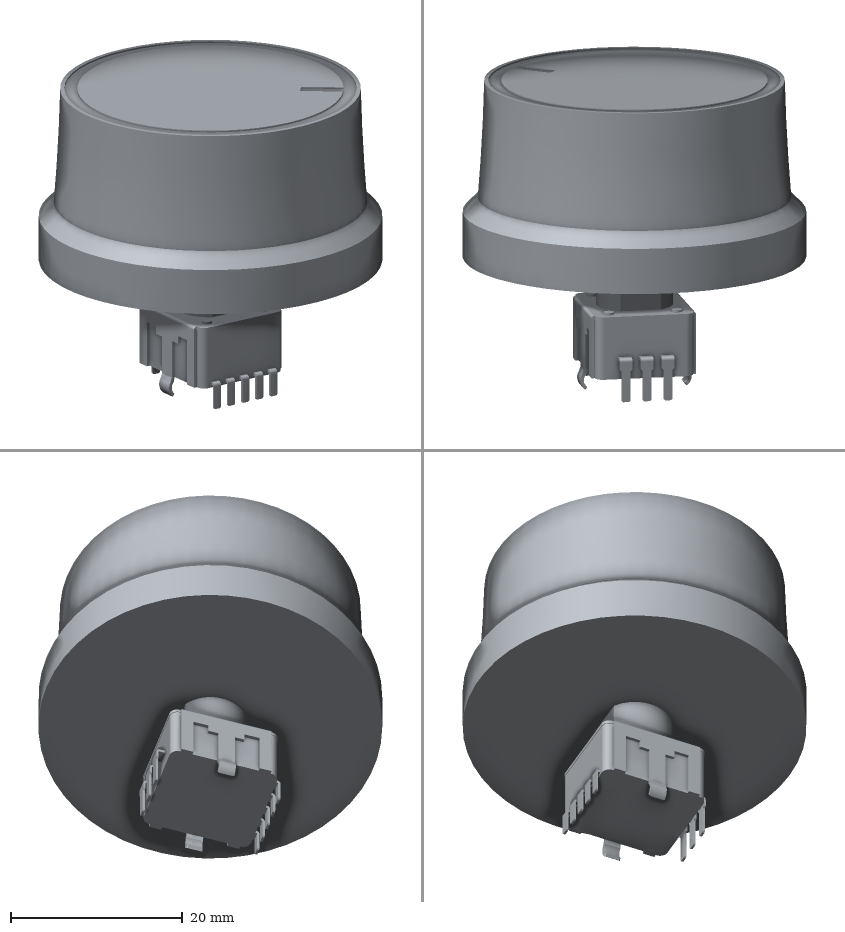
import cadquery as cq
import math


KNOB_BOTTOM = 13.09
KNOB_HEIGHT = 21.0
FLANGE_RADIUS = 20.0
FLANGE_HEIGHT = 5.4
FLANGE_CHAMFER = 1.75
RIM_RADIUS = 17.5
GRIP_HOLLOW = 0.1
GROOVE_OUTER_RADIUS = 17.0
GROOVE_INNER_RADIUS = 15.5
GROOVE_DEPTH = 0.2
POINTER_ANGLE = 53.0
POINTER_WIDTH = 1.5
POINTER_INNER_RADIUS = 10.5

CASE_X = 13.1
CASE_Y = 11.6
CASE_HEIGHT = 7.45
CASE_CORNER_RADIUS = 0.95
BUSHING_DIAMETER = 9.0
BUSHING_FLAT_WIDTH = 7.6
PEG_DIAMETER = 1.25
PEG_HEIGHT = 0.27
PEG_X = 5.0
PEG_Y = 4.05

COVER_THICKNESS = 0.4
COVER_OVERHANG = 0.05
FOLD_RADIUS = 0.35
SIDE_PLATE_WIDTH = 11.0
WINDOW_HALF_WIDTH = 4.05
WINDOW_HEIGHT = 5.45
WINDOW_STEP_HEIGHT = 4.5
WINDOW_STEP_HALF_WIDTH = 2.2
CLIP_WIDTH = 2.0
CLIP_CORNER = 0.15

CLIP_START_Z = -0.55
CLIP_ARC_RADIUS = 1.4
CLIP_ARC_CENTRE_Y = 5.2
CLIP_ARC_CENTRE_Z = -1.25
CLIP_END_ANGLE = math.radians(-55)

LEAD_DROP = 2.53
LEAD_ARM_THICKNESS = 0.4
LEAD_THICKNESS = 0.28
LEAD_WIDTH = 1.0
LEAD_HEAD_WIDTH = 1.5
LEAD_HEAD_BOTTOM = 1.1
LEAD_TIP_CHAMFER = 0.15
SIGNAL_LEAD_REACH = 7.63
SIGNAL_LEAD_TOP = 2.65
SIGNAL_LEAD_PITCH = 2.5
SIGNAL_LEAD_COUNT = 3
SWITCH_LEAD_REACH = 7.13
SWITCH_LEAD_TOP = 0.67
SWITCH_LEAD_PITCH = 2.0
SWITCH_LEAD_COUNT = 5


def make_knob():
    """Flanged knob with a slightly hollow-curved grip and a grooved top."""
    skirt_radius = FLANGE_RADIUS - FLANGE_CHAMFER
    skirt_z = FLANGE_HEIGHT + FLANGE_CHAMFER
    body = (
        cq.Workplane("XZ")
        .moveTo(0, 0)
        .lineTo(FLANGE_RADIUS, 0)
        .lineTo(FLANGE_RADIUS, FLANGE_HEIGHT)
        .lineTo(skirt_radius, skirt_z)
        .threePointArc(grip_midpoint(skirt_radius, skirt_z), (RIM_RADIUS, KNOB_HEIGHT))
        .lineTo(0, KNOB_HEIGHT)
        .close()
        .revolve(360, (0, 0, 0), (0, 1, 0))
    )
    knob = body.cut(make_top_groove())
    return knob.rotate((0, 0, 0), (0, 0, 1), POINTER_ANGLE).translate((0, 0, KNOB_BOTTOM))


def grip_midpoint(skirt_radius, skirt_z):
    """Middle point of the grip arc, set inward from the straight cone line."""
    return (
        (skirt_radius + RIM_RADIUS) / 2 - GRIP_HOLLOW,
        (skirt_z + KNOB_HEIGHT) / 2,
    )


def make_top_groove():
    """Shallow ring in the knob top, with the pointer slot running inward from it."""
    floor = cq.Workplane("XY").workplane(offset=KNOB_HEIGHT - GROOVE_DEPTH)
    ring = floor.circle(GROOVE_OUTER_RADIUS).circle(GROOVE_INNER_RADIUS).extrude(GROOVE_DEPTH)
    slot_end = (GROOVE_INNER_RADIUS + GROOVE_OUTER_RADIUS) / 2
    slot_length = slot_end - POINTER_INNER_RADIUS
    slot = (
        floor.center(POINTER_INNER_RADIUS + slot_length / 2, 0)
        .rect(slot_length, POINTER_WIDTH)
        .extrude(GROOVE_DEPTH)
    )
    return ring.union(slot)


def make_case():
    """Plastic case with the slightly larger cover plate on top."""
    cover_z = CASE_HEIGHT - COVER_THICKNESS
    case = (
        cq.Workplane("XY")
        .rect(CASE_X, CASE_Y)
        .extrude(cover_z)
        .edges("|Z")
        .fillet(CASE_CORNER_RADIUS)
    )
    cover = (
        cq.Workplane("XY")
        .workplane(offset=cover_z)
        .rect(CASE_X + 2 * COVER_OVERHANG, CASE_Y + 2 * COVER_OVERHANG)
        .extrude(COVER_THICKNESS)
        .edges("|Z")
        .fillet(CASE_CORNER_RADIUS)
    )
    return case.union(cover)


def make_bushing():
    """Round bushing with two flats facing -X and +X, ending against the knob."""
    top = cq.Workplane("XY").workplane(offset=CASE_HEIGHT)
    length = KNOB_BOTTOM - CASE_HEIGHT
    flats = top.rect(BUSHING_FLAT_WIDTH, BUSHING_DIAMETER).extrude(length)
    return top.circle(BUSHING_DIAMETER / 2).extrude(length).intersect(flats)


def make_pegs():
    return (
        cq.Workplane("XY")
        .workplane(offset=CASE_HEIGHT)
        .rect(2 * PEG_X, 2 * PEG_Y, forConstruction=True)
        .vertices()
        .circle(PEG_DIAMETER / 2)
        .extrude(PEG_HEIGHT)
    )


def make_side_plate():
    """Folded-down cover side on +Y, with a window on each side of its clip."""
    inner_y = CASE_Y / 2
    plate = (
        cq.Workplane("XY")
        .center(0, inner_y + COVER_THICKNESS / 2)
        .rect(SIDE_PLATE_WIDTH, COVER_THICKNESS)
        .extrude(CASE_HEIGHT)
        .edges(">Y and >Z")
        .fillet(FOLD_RADIUS)
    )
    window = (
        cq.Workplane("XZ", origin=(0, inner_y + COVER_THICKNESS, 0))
        .moveTo(CLIP_WIDTH / 2, 0)
        .lineTo(WINDOW_HALF_WIDTH, 0)
        .lineTo(WINDOW_HALF_WIDTH, WINDOW_HEIGHT)
        .lineTo(WINDOW_STEP_HALF_WIDTH, WINDOW_HEIGHT)
        .lineTo(WINDOW_STEP_HALF_WIDTH, WINDOW_STEP_HEIGHT)
        .lineTo(CLIP_WIDTH / 2, WINDOW_STEP_HEIGHT)
        .close()
        .extrude(COVER_THICKNESS)
    )
    return plate.cut(window).cut(window.mirror("YZ")).union(make_clip_hook())


def clip_arc_point(radius, angle):
    return (
        CLIP_ARC_CENTRE_Y + radius * math.cos(angle),
        CLIP_ARC_CENTRE_Z + radius * math.sin(angle),
    )


def make_clip_hook():
    """Bulging hook below the side plate, about as thick as the plate."""
    inner_y = CASE_Y / 2
    outer_y = inner_y + COVER_THICKNESS
    inner_radius = CLIP_ARC_RADIUS - COVER_THICKNESS
    start_rise = CLIP_START_Z - CLIP_ARC_CENTRE_Z
    outer_start = math.asin(start_rise / CLIP_ARC_RADIUS)
    inner_start = math.asin(start_rise / inner_radius)
    return (
        cq.Workplane("YZ")
        .moveTo(inner_y, 0)
        .lineTo(outer_y, 0)
        .lineTo(*clip_arc_point(CLIP_ARC_RADIUS, outer_start))
        .threePointArc(
            clip_arc_point(CLIP_ARC_RADIUS, 0),
            clip_arc_point(CLIP_ARC_RADIUS, CLIP_END_ANGLE),
        )
        .lineTo(*clip_arc_point(inner_radius, CLIP_END_ANGLE))
        .threePointArc(
            clip_arc_point(inner_radius, 0),
            clip_arc_point(inner_radius, inner_start),
        )
        .close()
        .extrude(CLIP_WIDTH / 2, both=True)
        .faces("<Z")
        .edges("not |X")
        .fillet(CLIP_CORNER)
    )


def make_lead(reach, top, front_outline):
    """Lead on the +X side: an arm out of the case, bent down past its underside.

    reach is the X of its outer face, top the Z of its arm, and front_outline the
    shape of its face in the YZ plane.
    """
    case_side = CASE_X / 2
    bend = (
        cq.Workplane("XZ")
        .moveTo(case_side, top)
        .lineTo(reach, top)
        .lineTo(reach, -LEAD_DROP)
        .lineTo(reach - LEAD_THICKNESS, -LEAD_DROP)
        .lineTo(reach - LEAD_THICKNESS, top - LEAD_ARM_THICKNESS)
        .lineTo(case_side, top - LEAD_ARM_THICKNESS)
        .close()
        .extrude(LEAD_HEAD_WIDTH / 2, both=True)
        .edges(">X and >Z")
        .fillet(LEAD_ARM_THICKNESS)
    )
    return bend.intersect(front_outline.extrude(reach))


def lead_outline(top, head_width):
    """Face of a lead: a head tapering at 45 degrees into the pin, with a chamfered tip."""
    half_pin = LEAD_WIDTH / 2
    half_tip = half_pin - LEAD_TIP_CHAMFER
    half_head = head_width / 2
    right_side = [
        (half_tip, -LEAD_DROP),
        (half_pin, -LEAD_DROP + LEAD_TIP_CHAMFER),
    ]
    if half_head > half_pin:
        right_side.append((half_pin, LEAD_HEAD_BOTTOM))
        right_side.append((half_head, LEAD_HEAD_BOTTOM + half_head - half_pin))
    right_side.append((half_head, top))
    left_side = [(-y, z) for y, z in reversed(right_side)]
    return cq.Workplane("YZ").polyline(right_side + left_side).close()


def lead_row(lead, count, pitch):
    """Copies of a lead spaced along Y, centred on the case."""
    first_y = -pitch * (count - 1) / 2
    return [lead.translate((0, first_y + i * pitch, 0)) for i in range(count)]


def make_encoder():
    encoder = make_case().union(make_bushing()).union(make_pegs())

    side_plate = make_side_plate()
    encoder = encoder.union(side_plate).union(side_plate.mirror("XZ"))

    signal_lead = make_lead(
        SIGNAL_LEAD_REACH,
        SIGNAL_LEAD_TOP,
        lead_outline(SIGNAL_LEAD_TOP, LEAD_HEAD_WIDTH),
    ).mirror("YZ")
    switch_lead = make_lead(
        SWITCH_LEAD_REACH,
        SWITCH_LEAD_TOP,
        lead_outline(SWITCH_LEAD_TOP, LEAD_WIDTH),
    )
    leads = lead_row(signal_lead, SIGNAL_LEAD_COUNT, SIGNAL_LEAD_PITCH)
    leads += lead_row(switch_lead, SWITCH_LEAD_COUNT, SWITCH_LEAD_PITCH)
    for lead in leads:
        encoder = encoder.union(lead)
    return encoder


knob = make_knob()
encoder = make_encoder()

result = cq.Compound.makeCompound([knob.val(), encoder.val()])